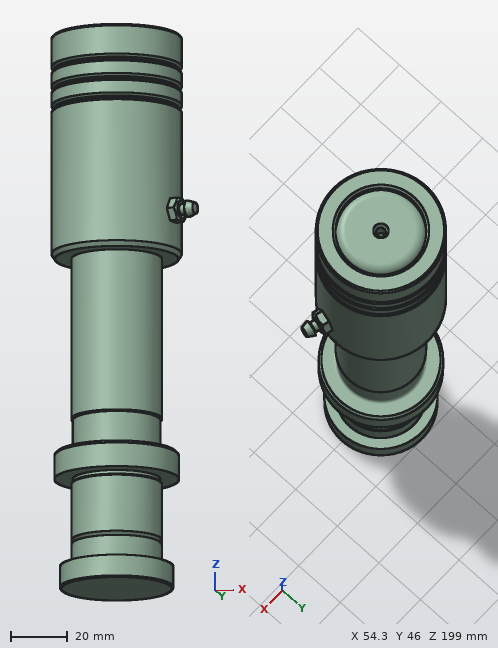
import cadquery as cq
import math

total_height = 199.0
post_radius = 16.0

cap_flange_radius = 20.0
cap_flange_height = 8.0
cap_flange_chamfer = 0.5
cap_height = 16.0

post_foot_chamfer = 1.5
collar_radius = 22.0
collar_bottom = 39.5
collar_height = 9.5
collar_chamfer = 1.0
collar_top = collar_bottom + collar_height
neck_radius = 15.5
neck_top = 60.8
neck_fillet = 1.0
undercut_height = 1.8
neck_step = post_radius - neck_radius
post_top = total_height - 0.3
post_top_fillet = 3.5
center_hole_radius = 1.7
center_hole_depth = 8.0
countersink_radius = 2.7
drill_point_angle = 120.0
countersink_angle = 60.0

bush_radius = 23.0
bush_height = 80.0
bush_bottom = total_height - bush_height
bush_top_chamfer = 0.7
bush_foot_chamfer_width = 1.2
bush_foot_chamfer_height = 1.8
bore_chamfer = 1.0
groove_count = 3
groove_pitch = 7.0
first_groove_center = total_height - 12.1
groove_width = 2.5
groove_root_width = 0.7
groove_depth = 1.0

nipple_height = bush_bottom + 15.0
nipple_angle = -15.0
shank_radius = 3.0
shank_start = 18.0
hex_start = bush_radius
hex_end = 26.5
hex_across_flats = 8.0
hex_corner_radius = hex_across_flats / math.sqrt(3)
hex_end_radius = 3.2
hex_chamfer_angle = 30.0
stem_radius = 2.0
head_start = 28.6
head_rim = 29.0
head_rim_radius = 3.0
nipple_tip = 31.88
tip_radius = 2.0


def revolve_z(profile):
    """Solid of revolution about Z from a closed (radius, height) profile."""
    return profile.close().revolve(360, (0, 0, 0), (0, 1, 0))


def make_cap():
    cap = cq.Workplane("XY").circle(cap_flange_radius).extrude(cap_flange_height)
    cap = cap.faces("<Z").chamfer(cap_flange_chamfer)
    spigot = cq.Workplane("XY").circle(post_radius).extrude(cap_height)
    return cap.union(spigot)


def make_post():
    profile = (
        cq.Workplane("XZ")
        .moveTo(0, cap_height)
        .lineTo(post_radius - post_foot_chamfer, cap_height)
        .lineTo(post_radius, cap_height + post_foot_chamfer)
        .lineTo(post_radius, collar_bottom - undercut_height)
        .lineTo(neck_radius, collar_bottom - undercut_height + neck_step)
        .lineTo(neck_radius, collar_bottom)
        .lineTo(collar_radius, collar_bottom)
        .lineTo(collar_radius, collar_top - collar_chamfer)
        .lineTo(collar_radius - collar_chamfer, collar_top)
        .lineTo(neck_radius + neck_fillet, collar_top)
        .radiusArc((neck_radius, collar_top + neck_fillet), neck_fillet)
        .lineTo(neck_radius, neck_top)
        .lineTo(post_radius, neck_top + neck_step)
        .lineTo(post_radius, post_top - post_top_fillet)
        .radiusArc((post_radius - post_top_fillet, post_top), -post_top_fillet)
        .lineTo(0, post_top)
    )
    return revolve_z(profile).cut(make_center_hole())


def make_center_hole():
    """Countersunk drilled hole in the top of the post, with a drill point."""
    hole_bottom = post_top - center_hole_depth
    countersink_depth = (countersink_radius - center_hole_radius) / math.tan(
        math.radians(countersink_angle / 2)
    )
    point_length = center_hole_radius / math.tan(math.radians(drill_point_angle / 2))
    profile = (
        cq.Workplane("XZ")
        .moveTo(0, hole_bottom - point_length)
        .lineTo(center_hole_radius, hole_bottom)
        .lineTo(center_hole_radius, post_top - countersink_depth)
        .lineTo(countersink_radius, post_top)
        .lineTo(0, post_top)
    )
    return revolve_z(profile)


def make_groove(center_height):
    """Ring with a trapezoidal section that cuts one groove round the bush."""
    root_radius = bush_radius - groove_depth
    profile = (
        cq.Workplane("XZ")
        .moveTo(bush_radius, center_height - groove_width / 2)
        .lineTo(bush_radius, center_height + groove_width / 2)
        .lineTo(root_radius, center_height + groove_root_width / 2)
        .lineTo(root_radius, center_height - groove_root_width / 2)
    )
    return revolve_z(profile)


def make_bush():
    profile = (
        cq.Workplane("XZ")
        .moveTo(post_radius, bush_bottom)
        .lineTo(bush_radius - bush_foot_chamfer_width, bush_bottom)
        .lineTo(bush_radius, bush_bottom + bush_foot_chamfer_height)
        .lineTo(bush_radius, total_height - bush_top_chamfer)
        .lineTo(bush_radius - bush_top_chamfer, total_height)
        .lineTo(post_radius + bore_chamfer, total_height)
        .lineTo(post_radius, total_height - bore_chamfer)
    )
    bush = revolve_z(profile)
    for index in range(groove_count):
        bush = bush.cut(make_groove(first_groove_center - index * groove_pitch))
    return bush.cut(place_nipple(make_shank()))


def make_shank():
    """Plain shank that fills a blind hole in the bush wall."""
    shank_length = hex_start - shank_start
    return cq.Workplane("XY").workplane(offset=shank_start).circle(shank_radius).extrude(shank_length)


def make_hexagon():
    """Hexagon with its outer corners turned down to a cone."""
    hexagon = (
        cq.Workplane("XY")
        .workplane(offset=hex_start)
        .polygon(6, 2 * hex_corner_radius)
        .extrude(hex_end - hex_start)
        .rotate((0, 0, 0), (0, 0, 1), 90)
    )
    chamfer_length = (hex_corner_radius - hex_end_radius) * math.tan(math.radians(hex_chamfer_angle))
    envelope = (
        cq.Workplane("XZ")
        .moveTo(0, hex_start)
        .lineTo(hex_corner_radius, hex_start)
        .lineTo(hex_corner_radius, hex_end - chamfer_length)
        .lineTo(hex_end_radius, hex_end)
        .lineTo(0, hex_end)
    )
    return hexagon.intersect(revolve_z(envelope))


def make_nipple_head():
    profile = (
        cq.Workplane("XZ")
        .moveTo(0, hex_end)
        .lineTo(stem_radius, hex_end)
        .lineTo(stem_radius, head_start)
        .lineTo(head_rim_radius, head_rim)
        .lineTo(tip_radius, nipple_tip)
        .lineTo(0, nipple_tip)
    )
    return revolve_z(profile)


def place_nipple(shape):
    """Turn a shape built along Z to point out of the side of the bush."""
    return (
        shape.rotate((0, 0, 0), (0, 1, 0), 90)
        .rotate((0, 0, 0), (0, 0, 1), nipple_angle)
        .translate((0, 0, nipple_height))
    )


def make_nipple():
    return place_nipple(make_shank().union(make_hexagon()).union(make_nipple_head()))


cap = make_cap()
post = make_post()
bush = make_bush()
nipple = make_nipple()

result = cq.Compound.makeCompound([cap.val(), post.val(), bush.val(), nipple.val()])